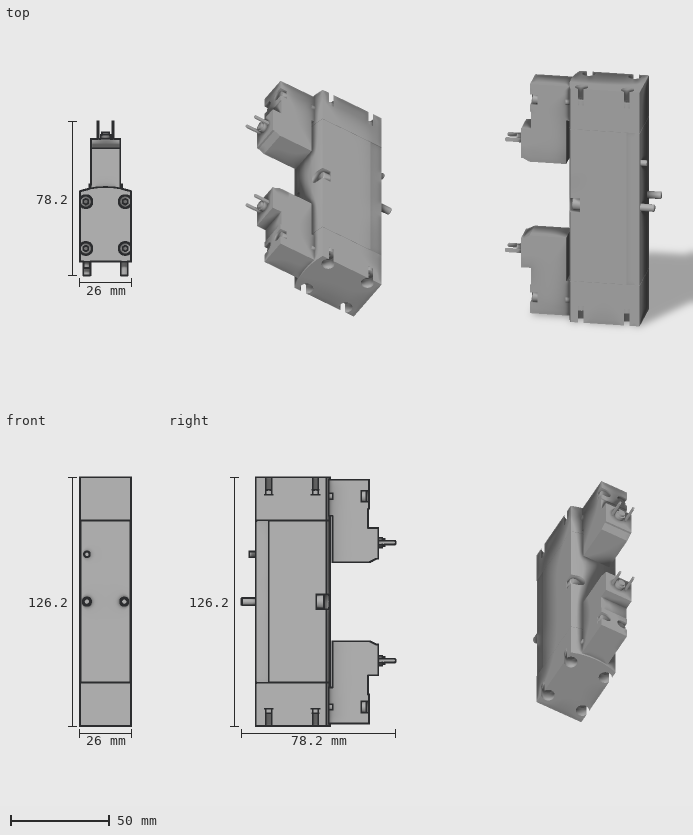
import cadquery as cq
import math

EPS = 0.1

LENGTH = 126.2
WIDTH = 26.0
EDGE_Y = 35.7
CROWN_Y = 37.9
CAP_LENGTH = 22.0
SEAM_GAP = 0.3
SEAM_DEPTH = 0.4
SUBPLATE_Y = 6.7
SUBPLATE_INSET = 0.4

CAP_SCREW_X = 10.0
CAP_SCREW_YS = (6.7, 30.4)
CAP_POCKET_DIA = 6.7
CAP_POCKET_DEPTH = 9.0
CAP_HEAD_DIA = 6.0
CAP_HEAD_HEIGHT = 2.5
CAP_SOCKET_FLATS = 2.5
CAP_SOCKET_DEPTH = 1.5

MOUNT_X = 9.5
MOUNT_SLOT_WIDTH = 7.7
MOUNT_SEAT_Y = 30.8
MOUNT_HEAD_DIA = 7.0
MOUNT_HEAD_HEIGHT = 4.0
MOUNT_HEAD_CHAMFER = 0.4
MOUNT_HOLE_DIA = 4.3
MOUNT_HOLE_DEPTH = 2.5
MOUNT_SHANK_DIA = 3.8
MOUNT_PROTRUSION = 7.2
MOUNT_CHAMFER = 0.4

PIN_Z = 24.0
PIN_DIA = 3.0
PIN_PROTRUSION = 3.3
PIN_CHAMFER = 0.19

PILOT_WIDTH = 14.9
PILOT_TOP_Z = 61.8
PILOT_FOOT_Z = 43.4
PILOT_BOTTOM_Z = 20.0
PILOT_INNER_Y = 38.9
PILOT_BACK_Y = 57.5
PILOT_RECESS_Y = 57.0
PILOT_RECESS_Z = 47.0
PLUG_Y = 62.2
PLUG_TOP_Z = 37.4
PLUG_LIP_Z = 21.7
PLUG_LIP_Y = 61.2
PLUG_BEVEL_Y = 57.8

PILOT_SCREW_X = 4.7
PILOT_SCREW_Z = 53.4
PILOT_SLOT_WIDTH = 5.7
PILOT_SEAT_Y = 53.6
PILOT_HEAD_DIA = 5.5
PILOT_HEAD_HEIGHT = 2.5

LUG_X = 6.7
LUG_DIA = 3.3
LUG_TOP_Y = 39.1

PLUG_Z = 29.9
BOSS_DIA = 5.0
BOSS_HEIGHT = 2.0
BOSS_TIP_DIA = 3.8
BOSS_TIP_HEIGHT = 3.3
BLADE_X = 3.8
BLADE_THICKNESS = 0.8
BLADE_WIDTH = 2.0
BLADE_TIP_Y = 71.0
BLADE_CHAMFER = 0.5

HALF_LENGTH = LENGTH / 2
HALF_WIDTH = WIDTH / 2
SEAM_Z = HALF_LENGTH - CAP_LENGTH
MIDDLE_Z = SEAM_Z - SEAM_GAP


def rod_y(diameter, x, z, y_start, y_end):
    """Cylinder parallel to Y."""
    face = cq.Workplane("XZ", origin=(x, y_start, z)).circle(diameter / 2)
    return face.extrude(y_start - y_end)


def rod_z(diameter, x, y, z_start, z_end):
    """Cylinder parallel to Z."""
    face = cq.Workplane("XY", origin=(x, y, z_start)).circle(diameter / 2)
    return face.extrude(z_end - z_start)


def block(x_range, y_range, z_range):
    """Box between the given limits."""
    ranges = (x_range, y_range, z_range)
    size = [high - low for low, high in ranges]
    corner = tuple(low for low, high in ranges)
    return cq.Workplane("XY").box(*size, centered=False).translate(corner)


def crowned_bar(half_width, front_y, crown_y, z_start, z_end):
    """Length of body section with flat sides and a crowned back."""
    return (
        cq.Workplane("XY", origin=(0, 0, z_start))
        .moveTo(-half_width, front_y)
        .lineTo(half_width, front_y)
        .lineTo(half_width, EDGE_Y)
        .threePointArc((0, crown_y), (-half_width, EDGE_Y))
        .close()
        .extrude(z_end - z_start)
    )


def side_slot(side, width, x, z, y_start, y_end):
    """Round-ended slot for a screw head, open towards the given side."""
    outer_x = side * WIDTH
    round_end = rod_y(width, x, z, y_start, y_end)
    mouth = block(
        (min(x, outer_x), max(x, outer_x)),
        (y_start, y_end),
        (z - width / 2, z + width / 2),
    )
    return round_end.union(mouth)


def make_middle():
    """Middle body with its front plate and the recessed core that bridges both seams."""
    core_half = HALF_WIDTH - SEAM_DEPTH
    plate_half = HALF_WIDTH - SUBPLATE_INSET
    middle = crowned_bar(HALF_WIDTH, SUBPLATE_Y, CROWN_Y, -MIDDLE_Z, MIDDLE_Z)
    plate = block((-plate_half, plate_half), (0, SUBPLATE_Y + EPS), (-MIDDLE_Z, MIDDLE_Z))
    core = crowned_bar(core_half, SEAM_DEPTH, CROWN_Y - SEAM_DEPTH, -SEAM_Z - EPS, SEAM_Z + EPS)
    return middle.union(plate).union(core)


def add_mount_screw(body, side):
    """Mounting screw in its side slot, with the shank leaving the front face."""
    x = side * MOUNT_X
    body = body.cut(side_slot(side, MOUNT_SLOT_WIDTH, x, 0, MOUNT_SEAT_Y, CROWN_Y + EPS))
    body = body.cut(rod_y(MOUNT_HOLE_DIA, x, 0, -EPS, MOUNT_HOLE_DEPTH))
    head_top = MOUNT_SEAT_Y + MOUNT_HEAD_HEIGHT
    head = rod_y(MOUNT_HEAD_DIA, x, 0, MOUNT_SEAT_Y - EPS, head_top)
    head = head.faces(">Y").chamfer(MOUNT_HEAD_CHAMFER)
    shank = rod_y(MOUNT_SHANK_DIA, x, 0, -MOUNT_PROTRUSION, MOUNT_HOLE_DEPTH + EPS)
    shank = shank.faces("<Y").chamfer(MOUNT_CHAMFER)
    return body.union(head).union(shank)


def make_locating_pin():
    """Chamfered locating pin that sticks out of the mounting face."""
    pin = rod_y(PIN_DIA, -MOUNT_X, PIN_Z, -PIN_PROTRUSION, EPS)
    return pin.faces("<Y").chamfer(PIN_CHAMFER)


def make_cap():
    """Upper end cap with four socket screws sunk in pockets that break the sides."""
    cap = crowned_bar(HALF_WIDTH, 0, CROWN_Y, SEAM_Z, HALF_LENGTH)
    seat_z = HALF_LENGTH - CAP_POCKET_DEPTH
    head_z = seat_z + CAP_HEAD_HEIGHT
    socket_corners = CAP_SOCKET_FLATS / math.cos(math.pi / 6)
    for x in (-CAP_SCREW_X, CAP_SCREW_X):
        for y in CAP_SCREW_YS:
            cap = cap.cut(rod_z(CAP_POCKET_DIA, x, y, seat_z, HALF_LENGTH + EPS))
            socket = (
                cq.Workplane("XY", origin=(x, y, head_z))
                .transformed(rotate=(0, 0, 90))
                .polygon(6, socket_corners)
                .extrude(-CAP_SOCKET_DEPTH)
            )
            cap = cap.union(rod_z(CAP_HEAD_DIA, x, y, seat_z - EPS, head_z).cut(socket))
    return cap


def make_pilot_block():
    """Bare upper pilot housing, hooked on to the crowned back of its cap."""
    profile = [
        (EDGE_Y, PILOT_TOP_Z),
        (PILOT_BACK_Y, PILOT_TOP_Z),
        (PILOT_BACK_Y, PILOT_RECESS_Z),
        (PILOT_RECESS_Y, PILOT_RECESS_Z),
        (PILOT_RECESS_Y, PLUG_TOP_Z),
        (PLUG_Y, PLUG_TOP_Z),
        (PLUG_Y, PLUG_LIP_Z),
        (PLUG_LIP_Y, PLUG_LIP_Z),
        (PLUG_BEVEL_Y, PILOT_BOTTOM_Z),
        (PILOT_INNER_Y, PILOT_BOTTOM_Z),
        (PILOT_INNER_Y, PILOT_FOOT_Z),
        (EDGE_Y, PILOT_FOOT_Z),
    ]
    plane = cq.Workplane("YZ", origin=(-PILOT_WIDTH / 2, 0, 0))
    return plane.polyline(profile).close().extrude(PILOT_WIDTH)


def add_pilot_screw(pilot, side):
    """Pilot fixing screw in its side slot, with the lug below it at the foot."""
    x = side * PILOT_SCREW_X
    slot = side_slot(side, PILOT_SLOT_WIDTH, x, PILOT_SCREW_Z, PILOT_SEAT_Y, PILOT_BACK_Y + EPS)
    head_top = PILOT_SEAT_Y + PILOT_HEAD_HEIGHT
    head = rod_y(PILOT_HEAD_DIA, x, PILOT_SCREW_Z, PILOT_SEAT_Y - EPS, head_top)
    lug = rod_y(LUG_DIA, side * LUG_X, PILOT_SCREW_Z, EDGE_Y, LUG_TOP_Y)
    return pilot.cut(slot).union(head).union(lug)


def make_connector():
    """Two contact blades either side of a stepped round boss."""
    boss = rod_y(BOSS_DIA, 0, PLUG_Z, PLUG_Y - EPS, PLUG_Y + BOSS_HEIGHT)
    tip = rod_y(BOSS_TIP_DIA, 0, PLUG_Z, PLUG_Y, PLUG_Y + BOSS_TIP_HEIGHT)
    connector = boss.union(tip)
    for x in (-BLADE_X, BLADE_X):
        blade = block(
            (x - BLADE_THICKNESS / 2, x + BLADE_THICKNESS / 2),
            (PLUG_Y - EPS, BLADE_TIP_Y),
            (PLUG_Z - BLADE_WIDTH / 2, PLUG_Z + BLADE_WIDTH / 2),
        )
        connector = connector.union(blade.edges(">Y and |X").chamfer(BLADE_CHAMFER))
    return connector


body = make_middle()
pilot = make_pilot_block()
for side in (-1, 1):
    body = add_mount_screw(body, side)
    pilot = add_pilot_screw(pilot, side)
body = body.union(make_locating_pin())
pilot = pilot.union(make_connector())

upper_end = make_cap().union(pilot)
result = body.union(upper_end).union(upper_end.mirror("XY"))